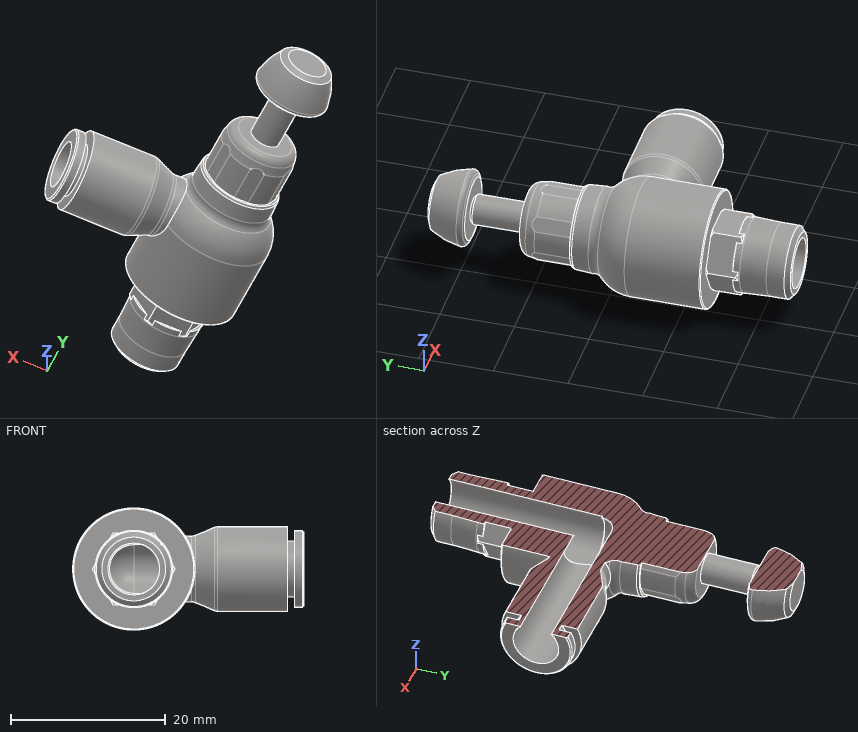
import cadquery as cq


thread_tip_radius = 4.1
thread_lead_radius = 4.85
collar_radius = 5.0
thread_tip_chamfer_end = 0.65
thread_lead_end = 3.05
thread_taper_end = 6.55
collar_end = 7.5

hex_side_count = 6
hex_corner_radius = 5.35
hex_start = 6.75
hex_chamfer = 0.3

body_start = 11.02
body_radius = 7.9
body_edge_chamfer = 0.15
port_center = 21.2
shoulder_end = 25.3
shoulder_end_radius = 6.12
neck_start = 26.65
neck_start_radius = 5.75
neck_end = 29.25
neck_end_radius = 5.6
neck_edge_height = 0.35
neck_edge_inset = 0.15

nut_radius = 5.15
nut_flat_distance = 5.05
nut_flat_count = 6
nut_cylinder_end = 34.05
nut_rim_start = 35.35
nut_rim_radius = 4.9
nut_end = 36.4
nut_end_radius = 3.8

stem_radius = 2.0
stem_chamfer = 0.4
knob_start = 43.65
knob_base_radius = 4.15
knob_bevel_radius = 4.55
knob_bevel_end = 43.85
knob_radius = 5.1
knob_dome_start = 44.55
knob_dome_middle = 46.6
knob_dome_middle_radius = 4.6
knob_dome_end = 48.55
knob_dome_end_radius = 3.68
knob_end = 49.0
knob_end_radius = 2.7

port_neck_radius = 4.25
port_neck_end = 7.45
port_blend_end = 7.95
port_blend_end_radius = 4.35
port_cone_end = 10.4
port_cone_end_radius = 5.4
port_shell_start = 10.85
port_shell_radius = 5.5
port_shell_end = 19.85
port_groove_radius = 3.65
port_ring_start = 20.75
port_ring_radius = 4.95
port_ring_chamfer = 0.2
port_end = 21.95

inlet_radius = 3.35
elbow_radius = 3.15


def around_y(outline):
    """Revolve a closed outline of (radius, y) points about the main axis."""
    return outline.close().revolve(360, (0, 0, 0), (0, 1, 0))


def cylinder_y(radius, start, end):
    """Cylinder on the main axis between two Y positions."""
    return around_y(cq.Workplane("XY").moveTo(0, start).lineTo(radius, start).lineTo(radius, end).lineTo(0, end))


def make_thread():
    outline = (
        cq.Workplane("XY")
        .lineTo(thread_tip_radius, 0)
        .lineTo(thread_lead_radius, thread_tip_chamfer_end)
        .lineTo(thread_lead_radius, thread_lead_end)
        .lineTo(collar_radius, thread_taper_end)
        .lineTo(collar_radius, collar_end)
        .lineTo(0, collar_end)
    )
    return around_y(outline)


def make_hexagon():
    """Hexagon with two corners on the X axis and turned corners at both ends."""
    length = body_start - hex_start
    prism = (
        cq.Workplane("XZ", origin=(0, hex_start, 0))
        .polygon(hex_side_count, 2 * hex_corner_radius)
        .extrude(-length)
    )
    turned = cylinder_y(hex_corner_radius, hex_start, body_start).edges("%CIRCLE").chamfer(hex_chamfer)
    return prism.intersect(turned)


def make_body():
    outline = (
        cq.Workplane("XY")
        .moveTo(0, body_start)
        .lineTo(body_radius - body_edge_chamfer, body_start)
        .lineTo(body_radius, body_start + body_edge_chamfer)
        .lineTo(body_radius, port_center)
        .tangentArcPoint((shoulder_end_radius, shoulder_end), relative=False)
        .tangentArcPoint((neck_start_radius, neck_start), relative=False)
        .lineTo(neck_end_radius, neck_end - neck_edge_height)
        .lineTo(neck_end_radius - neck_edge_inset, neck_end)
        .lineTo(0, neck_end)
    )
    return around_y(outline)


def make_nut():
    outline = (
        cq.Workplane("XY")
        .moveTo(0, neck_end)
        .lineTo(nut_radius, neck_end)
        .lineTo(nut_radius, nut_cylinder_end)
        .lineTo(nut_rim_radius, nut_rim_start)
        .tangentArcPoint((nut_end_radius, nut_end), relative=False)
        .lineTo(0, nut_end)
    )
    flats = (
        cq.Workplane("XZ", origin=(0, neck_end, 0))
        .polygon(nut_flat_count, 2 * nut_flat_distance, circumscribed=True)
        .extrude(neck_end - nut_end)
        .rotate((0, 0, 0), (0, 1, 0), 180 / nut_flat_count)
    )
    return around_y(outline).intersect(flats)


def make_stem():
    outline = (
        cq.Workplane("XY")
        .moveTo(0, nut_end)
        .lineTo(stem_radius, nut_end)
        .lineTo(stem_radius, knob_start - stem_chamfer)
        .lineTo(stem_radius - stem_chamfer, knob_start)
        .lineTo(0, knob_start)
    )
    return around_y(outline)


def make_knob():
    outline = (
        cq.Workplane("XY")
        .moveTo(0, knob_end)
        .lineTo(knob_end_radius, knob_end)
        .lineTo(knob_dome_end_radius, knob_dome_end)
        .threePointArc((knob_dome_middle_radius, knob_dome_middle), (knob_radius, knob_dome_start))
        .tangentArcPoint((knob_bevel_radius, knob_bevel_end), relative=False)
        .lineTo(knob_base_radius, knob_start)
        .lineTo(0, knob_start)
    )
    return around_y(outline)


def make_port():
    """Stepped tube port, revolved about the X direction through the port center."""
    outline = (
        cq.Workplane("XY", origin=(0, port_center, 0))
        .lineTo(0, port_neck_radius)
        .lineTo(port_neck_end, port_neck_radius)
        .tangentArcPoint((port_blend_end, port_blend_end_radius), relative=False)
        .lineTo(port_cone_end, port_cone_end_radius)
        .lineTo(port_shell_start, port_shell_radius)
        .lineTo(port_shell_end, port_shell_radius)
        .lineTo(port_shell_end, port_groove_radius)
        .lineTo(port_ring_start, port_groove_radius)
        .lineTo(port_ring_start, port_ring_radius)
        .lineTo(port_end - port_ring_chamfer, port_ring_radius)
        .lineTo(port_end, port_ring_radius - port_ring_chamfer)
        .lineTo(port_end, 0)
        .close()
    )
    return outline.revolve(360, (0, 0, 0), (1, 0, 0))


def make_inlet():
    """Bore through the thread up to the port center."""
    return cylinder_y(inlet_radius, 0, port_center)


def make_outlet():
    """Bore out through the port, with a spherical elbow on the main axis."""
    outline = (
        cq.Workplane("XY", origin=(0, port_center, 0))
        .moveTo(-elbow_radius, 0)
        .radiusArc((0, elbow_radius), elbow_radius)
        .lineTo(port_end, elbow_radius)
        .lineTo(port_end, 0)
        .close()
    )
    return outline.revolve(360, (0, 0, 0), (1, 0, 0))


result = (
    make_body()
    .union(make_hexagon())
    .union(make_thread())
    .union(make_nut())
    .union(make_stem())
    .union(make_knob())
    .union(make_port())
    .cut(make_inlet())
    .cut(make_outlet())
)